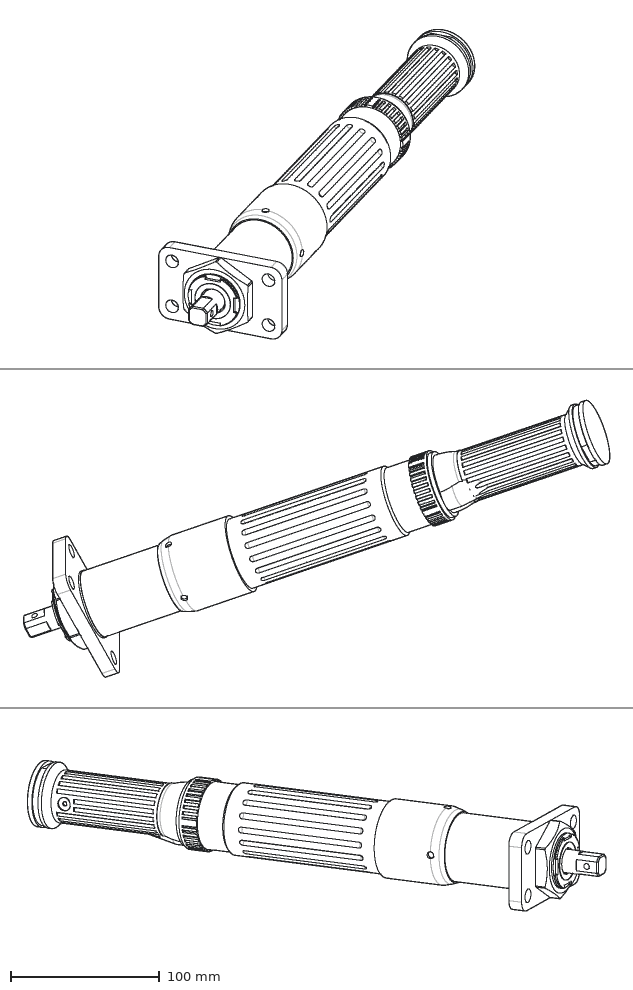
import cadquery as cq
import math

LENGTH = 417.5
QUARTER_TURNS = [0, 90, 180, 270]

SHAFT_R = 8.0
SQUARE_SIZE = 13.8
SQUARE_LENGTH = 16.0
SQUARE_TIP_CHAMFER = 1.0
PIN_HOLE_DIA = 4.0
PIN_HOLE_Y = 8.5

NOSE_FRONT_Y = 25.5
NOSE_R = 18.5
NOSE_LIP = 1.3
NOSE_NECK_R = 17.0
NOSE_BASE_R = 18.8
NOSE_BASE_Y = 27.5
NOSE_NOTCH_WIDTH = 11.0
NOSE_NOTCH_BOTTOM = 15.5
NOSE_BORE_R = 8.98
NOSE_BORE_DEPTH = 2.0
NOSE_RING_R = 13.0
NOSE_RING_DEPTH = 0.5

NUT_FRONT_Y = 29.0
NUT_ACROSS_FLATS = 47.0
NUT_CHAMFER_R = 22.0
NUT_CHAMFER_LENGTH = 2.5

FLANGE_WIDTH = 90.0
FLANGE_HEIGHT = 54.0
FLANGE_FRONT_Y = 38.5
FLANGE_BACK_Y = 48.0
FLANGE_CORNER_R = 8.0
BOLT_HOLE_DIA = 9.0
BOLT_SPACING_X = 70.5
BOLT_SPACING_Z = 34.0

TUBE_R = 23.5
TUBE_SHOULDER_R = 24.0
TUBE_SHOULDER_BACK_Y = 49.3
COLLAR_R = FLANGE_HEIGHT / 2
COLLAR_FRONT_Y = 106.0
COLLAR_BEVEL_Y = 109.5
COLLAR_TAPER_Y = 115.2
COLLAR_BACK_Y = 157.0
COLLAR_NOSE_R = 24.2
COLLAR_BEVEL_R = 25.5
COLLAR_HOLE_DIA = 4.5
COLLAR_HOLE_DEPTH = 2.0

BODY_R = 24.5
BODY_BEVEL_Y = 270.0
BODY_BACK_Y = 272.0
BODY_FLUTE_COUNT = 16
BODY_FLUTE_R = 2.0
BODY_FLUTE_DEPTH = 1.5
BODY_FLUTE_FRONT_Y = 167.5
BODY_FLUTE_BACK_Y = 259.3

REAR_TUBE_R = 23.0
KNURL_R = 24.5
KNURL_FRONT_Y = 290.5
KNURL_BACK_Y = 303.5
KNURL_RIM = 2.0
KNURL_NOTCH_WIDTH = 2.0
KNURL_NOTCH_DEPTH = 1.5
KNURL_NOTCH_PITCH = 10
KNURL_NOTCHES_PER_QUARTER = 7
INDEX_NOTCH_WIDTH = 1.3
INDEX_NOTCH_DEPTH = 1.0
INDEX_NOTCH_PITCH = 7

NECK_RIM_R = 23.0
NECK_RIM_BACK_Y = 306.5
NECK_R = 20.5
NECK_MID_R = 20.0
NECK_BACK_Y = 320.5
GRIP_EDGE_Y = 323.0
GRIP_EDGE_STEP = 0.5
BULGE_FRONT_Y = 315.5
BULGE_R = 10.5
BULGE_BOTTOM_Z = -23.0
BULGE_BACK_Y = 337.8

GRIP_R = 18.0
GRIP_BACK_Y = 402.0
GRIP_FLUTE_COUNT = 20
GRIP_FLUTE_R = 1.5
GRIP_FLUTE_FRONT_Y = 326.0
GRIP_FLUTE_BACK_Y = 398.7
SCREW_Y = 392.5
SCREW_DIA = 9.0
SCREW_PAD_WIDTH = 10.0
SCREW_PAD_FRONT_Y = 385.5
SCREW_RECESS_DEPTH = 1.3
SCREW_SOCKET_DIA = 3.0
SCREW_SOCKET_DEPTH = 2.5

CAP_R = 22.5
CAP_CONE_BACK_Y = 407.0
CAP_GROOVE_FRONT_Y = 409.5
CAP_GROOVE_BACK_Y = 414.0
CAP_GROOVE_R = 21.5
CAP_FLAT_HALF = 20.0


def rod(radius, y_start, y_end):
    """Cylinder on the Y axis."""
    return cq.Workplane("XZ", origin=(0, y_start, 0)).circle(radius).extrude(y_start - y_end)


def block(size_x, size_z, y_start, y_end):
    """Box centred on the Y axis."""
    return cq.Workplane("XZ", origin=(0, y_start, 0)).rect(size_x, size_z).extrude(y_start - y_end)


def turned_body():
    """Every round section from the nose cap to the grip end, as one revolved outline."""
    flare_mid = (NECK_MID_R, (NECK_RIM_BACK_Y + NECK_BACK_Y) / 2)
    outline = (
        cq.Workplane("XY")
        .moveTo(0, NOSE_FRONT_Y)
        .lineTo(NOSE_R, NOSE_FRONT_Y)
        .lineTo(NOSE_R, NOSE_FRONT_Y + NOSE_LIP)
        .lineTo(NOSE_NECK_R, NOSE_FRONT_Y + NOSE_LIP)
        .lineTo(NOSE_NECK_R, NOSE_BASE_Y)
        .lineTo(NOSE_BASE_R, NOSE_BASE_Y)
        .lineTo(NOSE_BASE_R, FLANGE_FRONT_Y)
        .lineTo(TUBE_SHOULDER_R, FLANGE_FRONT_Y)
        .lineTo(TUBE_SHOULDER_R, TUBE_SHOULDER_BACK_Y)
        .lineTo(TUBE_R, TUBE_SHOULDER_BACK_Y)
        .lineTo(TUBE_R, COLLAR_FRONT_Y)
        .lineTo(COLLAR_NOSE_R, COLLAR_FRONT_Y)
        .lineTo(COLLAR_BEVEL_R, COLLAR_BEVEL_Y)
        .lineTo(COLLAR_R, COLLAR_TAPER_Y)
        .lineTo(COLLAR_R, COLLAR_BACK_Y)
        .lineTo(BODY_R, COLLAR_BACK_Y)
        .lineTo(BODY_R, BODY_BEVEL_Y)
        .lineTo(REAR_TUBE_R, BODY_BACK_Y)
        .lineTo(REAR_TUBE_R, KNURL_FRONT_Y)
        .lineTo(KNURL_R, KNURL_FRONT_Y)
        .lineTo(KNURL_R, KNURL_BACK_Y)
        .lineTo(NECK_RIM_R, KNURL_BACK_Y)
        .lineTo(NECK_RIM_R, NECK_RIM_BACK_Y)
        .lineTo(NECK_R, NECK_RIM_BACK_Y)
        .threePointArc(flare_mid, (GRIP_R + GRIP_EDGE_STEP, NECK_BACK_Y))
        .lineTo(GRIP_R + GRIP_EDGE_STEP, GRIP_EDGE_Y)
        .lineTo(GRIP_R, GRIP_EDGE_Y)
        .lineTo(GRIP_R, GRIP_BACK_Y)
        .lineTo(CAP_R, CAP_CONE_BACK_Y)
        .lineTo(CAP_R, CAP_GROOVE_FRONT_Y)
        .lineTo(CAP_GROOVE_R, CAP_GROOVE_FRONT_Y)
        .lineTo(CAP_GROOVE_R, CAP_GROOVE_BACK_Y)
        .lineTo(CAP_R, CAP_GROOVE_BACK_Y)
        .lineTo(CAP_R, LENGTH)
        .lineTo(0, LENGTH)
        .close()
    )
    return outline.revolve(360, (0, 0, 0), (0, 1, 0))


def drive_shaft():
    """Round shaft whose tip is milled square and cross-drilled along X."""
    tip = rod(SHAFT_R, 0, SQUARE_LENGTH).intersect(block(SQUARE_SIZE, SQUARE_SIZE, 0, SQUARE_LENGTH))
    tip = tip.faces("<Y").chamfer(SQUARE_TIP_CHAMFER)
    shaft = tip.union(rod(SHAFT_R, SQUARE_LENGTH, FLANGE_FRONT_Y))
    pin_hole = cq.Workplane("YZ").center(PIN_HOLE_Y, 0).circle(PIN_HOLE_DIA / 2).extrude(SHAFT_R, both=True)
    return shaft.cut(pin_hole)


def nose_recesses():
    """Clearance bore around the shaft and a shallow ring step on the nose face."""
    bore = rod(NOSE_BORE_R, NOSE_FRONT_Y, NOSE_FRONT_Y + NOSE_BORE_DEPTH)
    return bore.union(rod(NOSE_RING_R, NOSE_FRONT_Y, NOSE_FRONT_Y + NOSE_RING_DEPTH))


def nose_notches():
    """Four spanner notches in the rim of the nose cap."""
    depth = NOSE_R - NOSE_NOTCH_BOTTOM
    cutter = block(depth, NOSE_NOTCH_WIDTH, NOSE_FRONT_Y, NOSE_BASE_Y)
    cutter = cutter.translate((NOSE_NOTCH_BOTTOM + depth / 2, 0, 0))
    return around_axis(cutter, QUARTER_TURNS)


def hex_nut():
    """Hex nut with a corner on +Z, turned to the flange height and chamfered in front."""
    across_corners = NUT_ACROSS_FLATS / math.cos(math.radians(30))
    prism = (
        cq.Workplane("XZ", origin=(0, NUT_FRONT_Y, 0))
        .transformed(rotate=(0, 0, 30))
        .polygon(6, across_corners)
        .extrude(NUT_FRONT_Y - FLANGE_FRONT_Y)
    )
    turned = (
        cq.Workplane("XY")
        .moveTo(0, NUT_FRONT_Y)
        .lineTo(NUT_CHAMFER_R, NUT_FRONT_Y)
        .lineTo(COLLAR_R, NUT_FRONT_Y + NUT_CHAMFER_LENGTH)
        .lineTo(COLLAR_R, FLANGE_FRONT_Y)
        .lineTo(0, FLANGE_FRONT_Y)
        .close()
        .revolve(360, (0, 0, 0), (0, 1, 0))
    )
    return prism.intersect(turned)


def flange():
    """Rounded rectangular plate with four bolt holes."""
    plate = block(FLANGE_WIDTH, FLANGE_HEIGHT, FLANGE_FRONT_Y, FLANGE_BACK_Y)
    return (
        plate.edges("|Y").fillet(FLANGE_CORNER_R)
        .faces("<Y").workplane(centerOption="CenterOfBoundBox")
        .rarray(BOLT_SPACING_X, BOLT_SPACING_Z, 2, 2)
        .hole(BOLT_HOLE_DIA)
    )


def neck_bulge():
    """Rounded swelling under the neck that runs out into the grip."""
    low_axis_z = BULGE_BOTTOM_Z + BULGE_R
    straight = (
        cq.Workplane("XZ", origin=(0, KNURL_BACK_Y, low_axis_z))
        .circle(BULGE_R)
        .extrude(KNURL_BACK_Y - BULGE_FRONT_Y)
    )
    runout = (
        cq.Workplane("XZ", origin=(0, BULGE_FRONT_Y, low_axis_z))
        .circle(BULGE_R)
        .workplane(offset=BULGE_FRONT_Y - BULGE_BACK_Y)
        .center(0, BULGE_R - GRIP_R - low_axis_z)
        .circle(BULGE_R)
        .loft(ruled=True)
    )
    return straight.union(runout)


def ball_end_flute(radius, axis_x, y_start, y_end):
    """Groove cutter with ball ends, lying along the +X side."""
    outline = (
        cq.Workplane("XY")
        .moveTo(0, y_start)
        .radiusArc((radius, y_start + radius), -radius)
        .lineTo(radius, y_end - radius)
        .radiusArc((0, y_end), -radius)
        .close()
    )
    return outline.revolve(360, (0, 0, 0), (0, 1, 0)).translate((axis_x, 0, 0))


def around_axis(cutter, angles):
    """Copies of a cutter turned about the Y axis."""
    return [cutter.rotate((0, 0, 0), (0, 1, 0), angle).val() for angle in angles]


def body_flutes():
    """Evenly spaced flutes along the main body."""
    pitch = 360 / BODY_FLUTE_COUNT
    axis_x = BODY_R + BODY_FLUTE_R - BODY_FLUTE_DEPTH
    cutter = ball_end_flute(BODY_FLUTE_R, axis_x, BODY_FLUTE_FRONT_Y, BODY_FLUTE_BACK_Y)
    return around_axis(cutter, [i * pitch for i in range(BODY_FLUTE_COUNT)])


def grip_flutes():
    """Grip grooves set astride the X and Z axes, with a plain pad kept around the -X screw."""
    pitch = 360 / GRIP_FLUTE_COUNT
    cutter = rod(GRIP_FLUTE_R, GRIP_FLUTE_FRONT_Y, GRIP_FLUTE_BACK_Y).translate((GRIP_R, 0, 0))
    pad = block(2 * CAP_R, SCREW_PAD_WIDTH, SCREW_PAD_FRONT_Y, GRIP_BACK_Y).translate((-CAP_R, 0, 0))
    return [
        cutter.rotate((0, 0, 0), (0, 1, 0), (i + 0.5) * pitch).cut(pad).val()
        for i in range(GRIP_FLUTE_COUNT)
    ]


def knurl_slot(width, depth):
    """Straight slot cutter on the +X side of the knurled ring, leaving the rear rim whole."""
    length = KNURL_BACK_Y - KNURL_FRONT_Y - KNURL_RIM
    cutter = cq.Workplane("XY").box(2 * depth, length, width)
    return cutter.translate((KNURL_R, KNURL_FRONT_Y + length / 2, 0))


def knurl_notches():
    """Four groups of notches, with a pair of fine index notches between the groups."""
    middle = (KNURL_NOTCHES_PER_QUARTER - 1) / 2
    angles = [
        45 + quarter + KNURL_NOTCH_PITCH * (i - middle)
        for quarter in QUARTER_TURNS
        for i in range(KNURL_NOTCHES_PER_QUARTER)
    ]
    notches = around_axis(knurl_slot(KNURL_NOTCH_WIDTH, KNURL_NOTCH_DEPTH), angles)
    index_angles = [quarter + INDEX_NOTCH_PITCH * side for quarter in QUARTER_TURNS for side in (-1, 1)]
    return notches + around_axis(knurl_slot(INDEX_NOTCH_WIDTH, INDEX_NOTCH_DEPTH), index_angles)


def collar_holes():
    """Four shallow radial holes where the collar starts to taper."""
    cutter = (
        cq.Workplane("YZ", origin=(COLLAR_R - COLLAR_HOLE_DEPTH, COLLAR_TAPER_Y, 0))
        .circle(COLLAR_HOLE_DIA / 2)
        .extrude(2 * COLLAR_HOLE_DEPTH)
    )
    return around_axis(cutter, QUARTER_TURNS)


def cap_flats():
    """Flats above and below in the groove of the end cap."""
    span = block(2 * CAP_R, 2 * CAP_R, CAP_GROOVE_FRONT_Y, CAP_GROOVE_BACK_Y)
    return span.cut(block(2 * CAP_R, 2 * CAP_FLAT_HALF, CAP_GROOVE_FRONT_Y, CAP_GROOVE_BACK_Y)).vals()


def screw_recess():
    """Counterbore and socket of the screw on the -X side of the grip."""
    def pocket(diameter, depth):
        return (
            cq.Workplane("YZ", origin=(depth - GRIP_R, SCREW_Y, 0))
            .circle(diameter / 2)
            .extrude(-2 * depth)
        )
    return [
        pocket(SCREW_DIA, SCREW_RECESS_DEPTH).val(),
        pocket(SCREW_SOCKET_DIA, SCREW_SOCKET_DEPTH).val(),
    ]


cutters = (
    nose_notches()
    + collar_holes()
    + body_flutes()
    + knurl_notches()
    + grip_flutes()
    + screw_recess()
    + cap_flats()
)
turned = turned_body().union(neck_bulge())
body = cq.Workplane(turned.val().cut(*cutters))
assembled = body.union(hex_nut()).union(flange()).cut(nose_recesses()).union(drive_shaft())
result = cq.Workplane(assembled.solids().val())